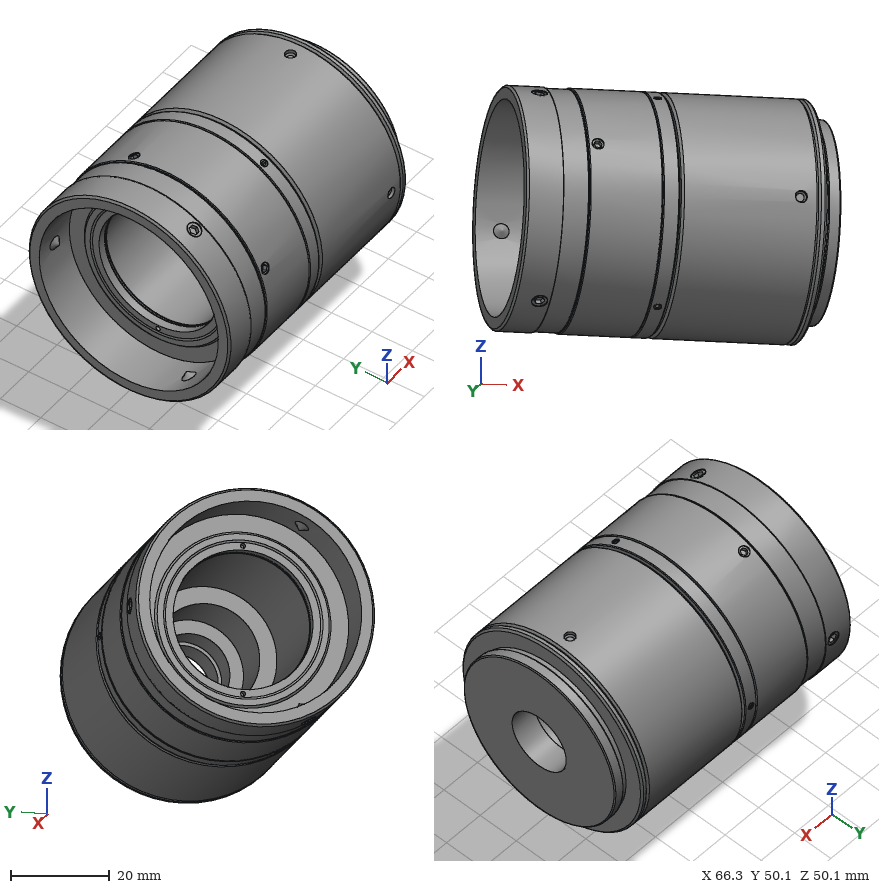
import cadquery as cq
import math

LENGTH = 66.3
BODY_R = 50.1 / 2
RIM_CHAMFER = 0.45

RELIEF_START = 7.6
RELIEF_END = 12.85
RELIEF_R = BODY_R - 0.23
FOCUS_RING_END = 28.1
JOINT_WIDTH = 0.25
JOINT_DEPTH = 0.65
JOINT_CHAMFER = 0.2
GAP_START = 31.8
GAP_END = 32.2
GAP_R = 23.2
GAP_FRONT_CHAMFER = 0.2
GAP_REAR_CHAMFER = 0.5
REAR_GROOVE_X = 60.8
REAR_GROOVE_DEPTH = 0.45
BARREL_END = 62.55
BARREL_END_CHAMFER = 0.45

NECK_R = 20.55
FLANGE_R = 21.0
FLANGE_START = 63.75
FLANGE_FRONT_CHAMFER = 0.2
FLANGE_REAR_CHAMFER = 0.25

HOOD_R = 22.2
HOOD_DEPTH = 10.6
SEAT_OUTER_R = 18.5
SEAT_HEIGHT = 0.45
SEAT_OUTER_CHAMFER = 0.45
SEAT_INNER_R = 16.7
RETAINER_R = 32.55 / 2
RETAINER_SETBACK = 0.2
SEAT_FACE_X = HOOD_DEPTH - SEAT_HEIGHT
RETAINER_FACE_X = SEAT_FACE_X + RETAINER_SETBACK
CHAMBER_R = 14.65
SNAP_GROOVE_X = 12.5
SNAP_GROOVE_WIDTH = 0.5
SNAP_GROOVE_DEPTH = 0.2
CHAMBER_END = 39.8
REAR_BORE_R = 11.1
REAR_BORE_END = 53.05
STOP_R = 8.2
STOP_END = 59.7
THROUGH_R = 7.5

SPANNER_HOLE_D = 1.0
SPANNER_HOLE_RADIUS = 31.1 / 2
SPANNER_HOLE_DEPTH = 1.3

HOOD_SCREW_X = 5.45
HOOD_SCREW_ANGLES = (0, 120, 240)
HOOD_SCREW_D = 3.25
HOOD_SCREW_HEX_D = 2.2
HOOD_SCREW_TIP = 1.2
TIP_OVERLAP = 0.3

FOCUS_SCREW_X = 15.2
FOCUS_SCREW_ANGLES = (68, 158)
FOCUS_SCREW_D = 2.45
FOCUS_SCREW_HEX_D = 1.7

CLAMP_SCREW_X = 30.05
CLAMP_SCREW_ANGLES = (0, 120, 240)
CLAMP_SCREW_D = 1.6
CLAMP_SCREW_HEX_D = 1.0

SCREW_FACE_DEPTH = 0.25
HEX_DEPTH = 1.0

REAR_HOLE_X = 57.1
REAR_HOLE_ANGLES = (90, 180)
REAR_HOLE_D = 2.45
REAR_HOLE_STRAIGHT = 0.8
REAR_HOLE_FLOOR_D = 1.7
REAR_HOLE_DEPTH = 1.2


def joint_slot(x):
    """Outline of a narrow slot that starts at x, up to the end of its rear bevel."""
    floor_r = BODY_R - JOINT_DEPTH
    rear_x = x + JOINT_WIDTH
    return [
        (x, floor_r),
        (rear_x, floor_r),
        (rear_x, BODY_R - JOINT_CHAMFER),
        (rear_x + JOINT_CHAMFER, BODY_R),
    ]


def lens_body():
    """Barrel and bore revolved around the X axis as one closed outline."""
    outer = [
        (0, BODY_R - RIM_CHAMFER),
        (RIM_CHAMFER, BODY_R),
        (RELIEF_START, BODY_R),
        (RELIEF_START, RELIEF_R),
        (RELIEF_END, RELIEF_R),
        *joint_slot(RELIEF_END),
        (FOCUS_RING_END, BODY_R),
        *joint_slot(FOCUS_RING_END),
        (GAP_START - GAP_FRONT_CHAMFER, BODY_R),
        (GAP_START, BODY_R - GAP_FRONT_CHAMFER),
        (GAP_START, GAP_R),
        (GAP_END, GAP_R),
        (GAP_END, BODY_R - GAP_REAR_CHAMFER),
        (GAP_END + GAP_REAR_CHAMFER, BODY_R),
        (REAR_GROOVE_X - REAR_GROOVE_DEPTH, BODY_R),
        (REAR_GROOVE_X, BODY_R - REAR_GROOVE_DEPTH),
        (REAR_GROOVE_X + REAR_GROOVE_DEPTH, BODY_R),
        (BARREL_END - BARREL_END_CHAMFER, BODY_R),
        (BARREL_END, BODY_R - BARREL_END_CHAMFER),
        (BARREL_END, NECK_R),
        (FLANGE_START, NECK_R),
        (FLANGE_START, FLANGE_R - FLANGE_FRONT_CHAMFER),
        (FLANGE_START + FLANGE_FRONT_CHAMFER, FLANGE_R),
        (LENGTH - FLANGE_REAR_CHAMFER, FLANGE_R),
        (LENGTH, FLANGE_R - FLANGE_REAR_CHAMFER),
    ]
    snap_groove_end = SNAP_GROOVE_X + SNAP_GROOVE_WIDTH
    snap_groove_r = CHAMBER_R + SNAP_GROOVE_DEPTH
    inner = [
        (LENGTH, THROUGH_R),
        (STOP_END, THROUGH_R),
        (STOP_END, STOP_R),
        (REAR_BORE_END, STOP_R),
        (REAR_BORE_END, REAR_BORE_R),
        (CHAMBER_END, REAR_BORE_R),
        (CHAMBER_END, CHAMBER_R),
        (snap_groove_end, CHAMBER_R),
        (snap_groove_end, snap_groove_r),
        (SNAP_GROOVE_X, snap_groove_r),
        (SNAP_GROOVE_X, CHAMBER_R),
        (RETAINER_FACE_X, CHAMBER_R),
        (RETAINER_FACE_X, RETAINER_R),
        (SEAT_FACE_X, SEAT_INNER_R),
        (SEAT_FACE_X, SEAT_OUTER_R - SEAT_OUTER_CHAMFER),
        (HOOD_DEPTH, SEAT_OUTER_R),
        (HOOD_DEPTH, HOOD_R),
        (0, HOOD_R),
    ]
    return cq.Workplane("XY").polyline(outer + inner).close().revolve(360, (0, 0, 0), (1, 0, 0))


def cut_spanner_holes(body):
    holes = (
        cq.Workplane("YZ", origin=(RETAINER_FACE_X, 0, 0))
        .pushPoints([(0, SPANNER_HOLE_RADIUS), (0, -SPANNER_HOLE_RADIUS)])
        .circle(SPANNER_HOLE_D / 2)
        .extrude(SPANNER_HOLE_DEPTH)
    )
    return body.cut(holes)


def radial_plane(x, angle, radius):
    """Workplane on the barrel at the given radius, facing away from the axis."""
    y = math.cos(math.radians(angle))
    z = math.sin(math.radians(angle))
    return cq.Workplane(cq.Plane(origin=(x, radius * y, radius * z), xDir=(1, 0, 0), normal=(0, y, z)))


def cut_set_screw(body, x, angle, screw_d, hex_d):
    """Round recess down to the flat face of a set screw, with a hexagon socket in that face."""
    face_r = BODY_R - SCREW_FACE_DEPTH
    recess = radial_plane(x, angle, face_r).circle(screw_d / 2).extrude(2 * SCREW_FACE_DEPTH)
    socket = radial_plane(x, angle, face_r).polygon(6, hex_d).extrude(-HEX_DEPTH)
    return body.cut(recess).cut(socket)


def add_screw_tip(body, angle):
    """Cone of a hood screw standing out of the hood wall; its base is buried in the wall."""
    base_r = HOOD_SCREW_D / 2
    cone = (
        cq.Workplane("XY")
        .polyline([(0, -HOOD_SCREW_TIP), (base_r, 0), (base_r, TIP_OVERLAP), (0, TIP_OVERLAP)])
        .close()
        .revolve(360, (0, 0, 0), (0, 1, 0))
        .translate((HOOD_SCREW_X, HOOD_R, 0))
        .rotate((0, 0, 0), (1, 0, 0), angle)
    )
    return body.union(cone)


def cut_rear_hole(body, angle):
    """Blind radial hole with a tapered bottom."""
    taper_start_r = BODY_R - REAR_HOLE_STRAIGHT
    mouth = (
        radial_plane(REAR_HOLE_X, angle, taper_start_r)
        .circle(REAR_HOLE_D / 2)
        .extrude(2 * REAR_HOLE_STRAIGHT)
    )
    taper = (
        radial_plane(REAR_HOLE_X, angle, taper_start_r)
        .circle(REAR_HOLE_D / 2)
        .workplane(offset=REAR_HOLE_STRAIGHT - REAR_HOLE_DEPTH)
        .circle(REAR_HOLE_FLOOR_D / 2)
        .loft()
    )
    return body.cut(mouth).cut(taper)


result = cut_spanner_holes(lens_body())

for screw_angle in HOOD_SCREW_ANGLES:
    result = cut_set_screw(result, HOOD_SCREW_X, screw_angle, HOOD_SCREW_D, HOOD_SCREW_HEX_D)
    result = add_screw_tip(result, screw_angle)

for screw_angle in FOCUS_SCREW_ANGLES:
    result = cut_set_screw(result, FOCUS_SCREW_X, screw_angle, FOCUS_SCREW_D, FOCUS_SCREW_HEX_D)

for screw_angle in CLAMP_SCREW_ANGLES:
    result = cut_set_screw(result, CLAMP_SCREW_X, screw_angle, CLAMP_SCREW_D, CLAMP_SCREW_HEX_D)

for hole_angle in REAR_HOLE_ANGLES:
    result = cut_rear_hole(result, hole_angle)